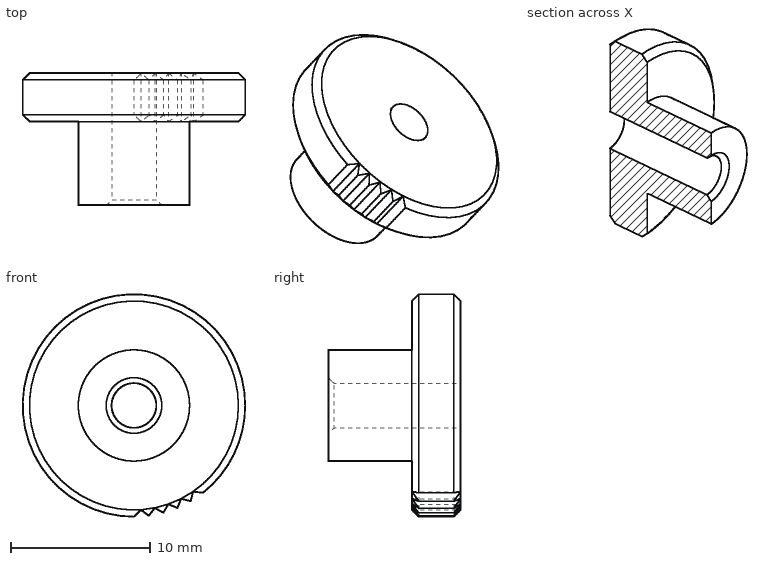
import cadquery as cq
import math

disc_diameter = 16.0
disc_thickness = 3.5
disc_chamfer = 0.5
hub_diameter = disc_diameter / 2
hub_length = 6.0
bore_diameter = disc_diameter / 5
countersink_diameter = disc_diameter / 4
countersink_depth = (countersink_diameter - bore_diameter) / 2

knurl_count = 5
knurl_pitch_angle = 360 / 47
knurl_start_angle = -90.0
knurl_root_clearance = 0.02
disc_radius = disc_diameter / 2
knurl_root_radius = disc_radius - disc_chamfer + knurl_root_clearance
overall_length = disc_thickness + hub_length


def polar_point(radius, angle):
    """Point in the XZ plane at an angle in degrees from +X toward +Z."""
    return radius * math.cos(math.radians(angle)), radius * math.sin(math.radians(angle))


def make_disc():
    disc = cq.Workplane("XZ").circle(disc_radius).extrude(disc_thickness)
    return disc.edges().chamfer(disc_chamfer)


def make_hub():
    hub = cq.Workplane("XZ", origin=(0, -disc_thickness, 0))
    return hub.circle(hub_diameter / 2).extrude(hub_length)


def make_bore():
    """Through bore with a 45 degree countersink at the hub end."""
    bore_radius = bore_diameter / 2
    profile = [
        (0, 0),
        (bore_radius, 0),
        (bore_radius, countersink_depth - overall_length),
        (countersink_diameter / 2, -overall_length),
        (0, -overall_length),
    ]
    return cq.Workplane("XY").polyline(profile).close().revolve(360, (0, 0), (0, 1))


def make_knurl_notch(start_angle):
    """V notch through the disc, from its root out past the rim."""
    middle_angle = start_angle + knurl_pitch_angle / 2
    end_angle = start_angle + knurl_pitch_angle
    outer_radius = disc_radius / math.cos(math.radians(knurl_pitch_angle / 2))
    profile = [
        polar_point(knurl_root_radius, middle_angle),
        polar_point(disc_radius, start_angle),
        polar_point(outer_radius, middle_angle),
        polar_point(disc_radius, end_angle),
    ]
    return cq.Workplane("XZ").polyline(profile).close().extrude(disc_thickness)


disc = make_disc()
for index in range(knurl_count):
    disc = disc.cut(make_knurl_notch(knurl_start_angle + index * knurl_pitch_angle))

result = disc.union(make_hub()).cut(make_bore())